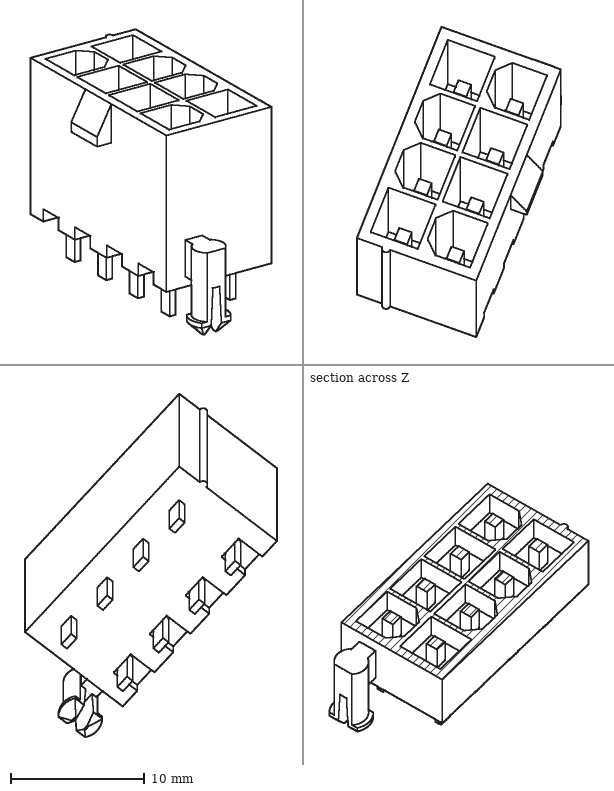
import cadquery as cq

COLUMNS = 4
ROWS = 2
PITCH = 4.2
CELL_SIZE = 3.8
OUTER_WALL = 0.8
BODY_X = (COLUMNS - 1) * PITCH + CELL_SIZE + 2 * OUTER_WALL
BODY_Y = (ROWS - 1) * PITCH + CELL_SIZE + 2 * OUTER_WALL
BODY_Z = 12.8
CELL_DEPTH = 10.01
CELL_FLOOR = BODY_Z - CELL_DEPTH
CELL_CHAMFER = 1.0
CHAMFERED_CELLS = [(0, 0), (3, 0), (1, 1), (2, 1)]

PIN_SIZE = 1.02
PIN_HEIGHT = 5.96
LEAD_WIDTH = 1.13
LEAD_THICKNESS = 0.55
LEAD_LENGTH = 3.2
LEAD_ROW_SPACING = 5.5

NOTCH_WIDTH = 2.0
NOTCH_HEIGHT = 1.02
NOTCH_DEPTH = (BODY_Y - LEAD_ROW_SPACING + LEAD_THICKNESS) / 2

LATCH_WIDTH = 3.43
LATCH_REACH = 1.3
LATCH_HEIGHT = 3.17
LATCH_LIP = 0.79

RIB_RADIUS = 0.32
RIB_Y = 2.45

OVERALL_X = 21.3
PEG_WIDTH = 2.0
PEG_RADIUS = 1.3
PEG_TOP = 3.83
PEG_X = OVERALL_X - RIB_RADIUS - BODY_X / 2 - PEG_WIDTH / 2
PEG_Y = -2.3
ARM_WIDTH = 1.53
ARM_HEIGHT = 3.0
BARB_RADIUS = 1.66
BARB_TOP = -1.79
BARB_BOTTOM = -2.2
TIP_RADIUS = 0.64
TIP_WIDTH = 0.4
SLOT_TOP_WIDTH = 0.62
SLOT_BOTTOM_WIDTH = 1.02


def box(width, depth, height, x, y, bottom):
    """Box centred on (x, y) that stands on the height `bottom`."""
    return cq.Workplane("XY", origin=(x, y, bottom)).rect(width, depth).extrude(height)


def column_x(column):
    return (column - (COLUMNS - 1) / 2) * PITCH


def row_y(row, spacing):
    return (row - (ROWS - 1) / 2) * spacing


def make_cell(column, row):
    cell = box(CELL_SIZE, CELL_SIZE, CELL_DEPTH, column_x(column), row_y(row, PITCH), CELL_FLOOR)
    if (column, row) in CHAMFERED_CELLS:
        cell = cell.faces(">Y").edges("|Z").chamfer(CELL_CHAMFER)
    return cell


def make_notch(column):
    notch_y = (NOTCH_DEPTH - BODY_Y) / 2
    return box(NOTCH_WIDTH, NOTCH_DEPTH, NOTCH_HEIGHT, column_x(column), notch_y, 0)


def make_pin(column, row):
    return box(PIN_SIZE, PIN_SIZE, PIN_HEIGHT, column_x(column), row_y(row, PITCH), CELL_FLOOR)


def make_lead(column, row):
    lead_y = row_y(row, LEAD_ROW_SPACING)
    lead_height = LEAD_LENGTH + CELL_FLOOR
    return box(LEAD_WIDTH, LEAD_THICKNESS, lead_height, column_x(column), lead_y, -LEAD_LENGTH)


def make_latch():
    front = -BODY_Y / 2
    lower_edge = BODY_Z - LATCH_HEIGHT
    return (
        cq.Workplane("YZ")
        .moveTo(front, BODY_Z)
        .lineTo(front - LATCH_REACH, lower_edge + LATCH_LIP)
        .lineTo(front - LATCH_REACH, lower_edge)
        .lineTo(front, lower_edge)
        .close()
        .extrude(LATCH_WIDTH / 2, both=True)
    )


def make_rib():
    return cq.Workplane("XY", origin=(-BODY_X / 2, RIB_Y, 0)).circle(RIB_RADIUS).extrude(BODY_Z)


def make_peg():
    turned = (
        cq.Workplane("XZ", origin=(PEG_X, PEG_Y, 0))
        .moveTo(0, PEG_TOP)
        .lineTo(PEG_RADIUS, PEG_TOP)
        .lineTo(PEG_RADIUS, BARB_TOP)
        .lineTo(BARB_RADIUS, BARB_TOP)
        .lineTo(BARB_RADIUS, BARB_BOTTOM)
        .lineTo(TIP_RADIUS, -LEAD_LENGTH)
        .lineTo(0, -LEAD_LENGTH)
        .close()
        .revolve(360, (0, 0, 0), (0, 1, 0))
    )
    flat_sides = (
        cq.Workplane("XZ", origin=(PEG_X, PEG_Y, 0))
        .moveTo(-PEG_WIDTH / 2, PEG_TOP)
        .lineTo(PEG_WIDTH / 2, PEG_TOP)
        .lineTo(PEG_WIDTH / 2, BARB_BOTTOM)
        .lineTo(TIP_WIDTH / 2, -LEAD_LENGTH)
        .lineTo(-TIP_WIDTH / 2, -LEAD_LENGTH)
        .lineTo(-PEG_WIDTH / 2, BARB_BOTTOM)
        .close()
        .extrude(BARB_RADIUS, both=True)
    )
    slot_top = PEG_TOP - ARM_HEIGHT
    slot = (
        cq.Workplane("YZ", origin=(PEG_X, PEG_Y, 0))
        .moveTo(-SLOT_TOP_WIDTH / 2, slot_top)
        .lineTo(SLOT_TOP_WIDTH / 2, slot_top)
        .lineTo(SLOT_BOTTOM_WIDTH / 2, -LEAD_LENGTH)
        .lineTo(-SLOT_BOTTOM_WIDTH / 2, -LEAD_LENGTH)
        .close()
        .extrude(PEG_WIDTH / 2, both=True)
    )
    arm_length = PEG_X - BODY_X / 2
    arm_x = BODY_X / 2 + arm_length / 2
    arm = box(arm_length, ARM_WIDTH, ARM_HEIGHT, arm_x, PEG_Y, slot_top)
    return turned.intersect(flat_sides).cut(slot).union(arm)


result = box(BODY_X, BODY_Y, BODY_Z, 0, 0, 0)
for column in range(COLUMNS):
    result = result.cut(make_notch(column))
    for row in range(ROWS):
        result = result.cut(make_cell(column, row))
        result = result.union(make_pin(column, row)).union(make_lead(column, row))
result = result.union(make_latch()).union(make_rib()).union(make_peg())